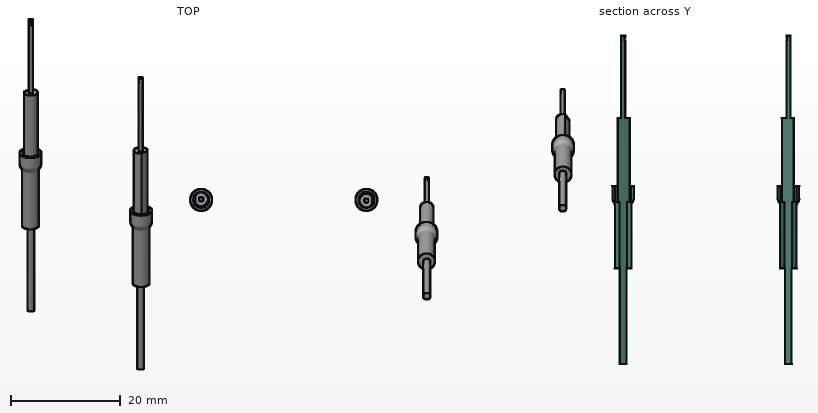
import cadquery as cq
import math

total_length = 60.0
spacing = 30.2
pin_offset = 0.1

lower_wire_radius = 0.65
rod_radius = 1.25
rod_flat_distance = 1.0
rod_top = 45.0
upper_wire_radius = 0.41
notch_depth = 0.15
notch_height = 0.55
notch_top_gap = 0.35

sleeve_bottom = 17.5
sleeve_radius = 1.55
collar_radius = 2.01
collar_top = 32.5
collar_blend_top = 30.3
collar_blend_bottom = 29.0
bore_radius = 1.45

rod_bottom = (collar_blend_top + collar_blend_bottom) / 2


def make_lower_wire():
    return cq.Workplane("XY").circle(lower_wire_radius).extrude(rod_bottom)


def make_sleeve():
    blend_height = collar_blend_top - collar_blend_bottom
    blend_width = collar_radius - sleeve_radius
    middle = ((collar_radius + sleeve_radius) / 2, rod_bottom)
    turn = 2 * math.atan(blend_width / blend_height)
    arc_radius = blend_height / (2 * math.sin(turn))
    arc_inset = arc_radius * (1 - math.cos(turn / 2))
    arc_drop = arc_radius * math.sin(turn / 2)
    sleeve = (
        cq.Workplane("XZ")
        .moveTo(0, sleeve_bottom)
        .lineTo(sleeve_radius, sleeve_bottom)
        .lineTo(sleeve_radius, collar_blend_bottom)
        .threePointArc((sleeve_radius + arc_inset, collar_blend_bottom + arc_drop), middle)
        .threePointArc(
            (collar_radius - arc_inset, collar_blend_top - arc_drop),
            (collar_radius, collar_blend_top),
        )
        .lineTo(collar_radius, collar_top)
        .lineTo(bore_radius, collar_top)
        .lineTo(bore_radius, rod_bottom)
        .lineTo(0, rod_bottom)
        .close()
        .revolve(360, (0, 0, 0), (0, 1, 0))
    )
    return sleeve.cut(make_lower_wire().translate((0, pin_offset, 0)))


def make_rod():
    rod_length = rod_top - rod_bottom
    rod = cq.Workplane("XY").workplane(offset=rod_bottom).circle(rod_radius).extrude(rod_length)
    envelope = (
        cq.Workplane("XY")
        .box(2 * rod_radius, 2 * rod_radius, rod_length, centered=(False, True, False))
        .translate((-rod_flat_distance, 0, rod_bottom))
    )
    return rod.intersect(envelope)


def make_notch():
    return (
        cq.Workplane("XY")
        .box(upper_wire_radius, 2 * upper_wire_radius, notch_height, centered=(False, True, False))
        .translate((upper_wire_radius - notch_depth, 0, total_length - notch_top_gap - notch_height))
    )


def make_pin():
    upper_wire = (
        cq.Workplane("XY")
        .workplane(offset=rod_top)
        .circle(upper_wire_radius)
        .extrude(total_length - rod_top)
        .cut(make_notch())
    )
    pin = make_rod().union(make_lower_wire()).union(upper_wire)
    return pin.translate((0, pin_offset, 0))


bodies = []
for angle in (0, 180):
    for body in (make_sleeve(), make_pin()):
        placed = body.translate((-spacing / 2, 0, 0)).rotate((0, 0, 0), (0, 0, 1), angle)
        bodies.append(placed.val())

result = cq.Compound.makeCompound(bodies)